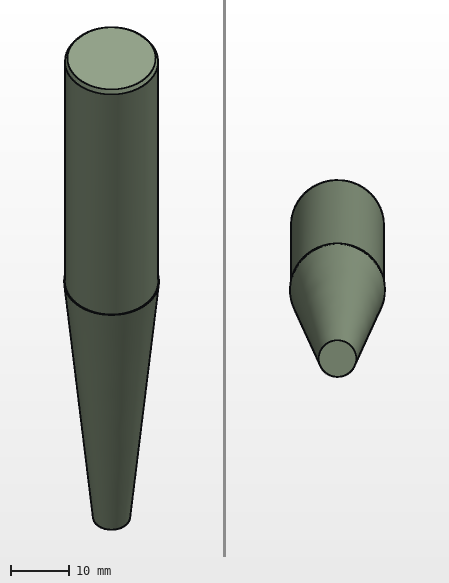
import cadquery as cq

total_length = 111.1
cone_length = 57.0
cone_base_diameter = 16.3
cone_tip_diameter = 6.4
shank_diameter = 16.0
chamfer_height = 0.8
chamfer_inset = 0.4

shank_length = total_length - cone_length


def make_cone():
    """Tapered lower body, narrow end at Z = 0."""
    return (
        cq.Workplane("XY")
        .circle(cone_tip_diameter / 2)
        .workplane(offset=cone_length)
        .circle(cone_base_diameter / 2)
        .loft(ruled=True)
    )


def make_shank():
    """Straight cylinder standing on the wide end of the cone, chamfered at its free end."""
    return (
        cq.Workplane("XY", origin=(0, 0, cone_length))
        .circle(shank_diameter / 2)
        .extrude(shank_length)
        .faces(">Z")
        .chamfer(chamfer_height, chamfer_inset)
    )


cone = make_cone()
shank = make_shank()

result = cq.Compound.makeCompound([cone.val(), shank.val()])